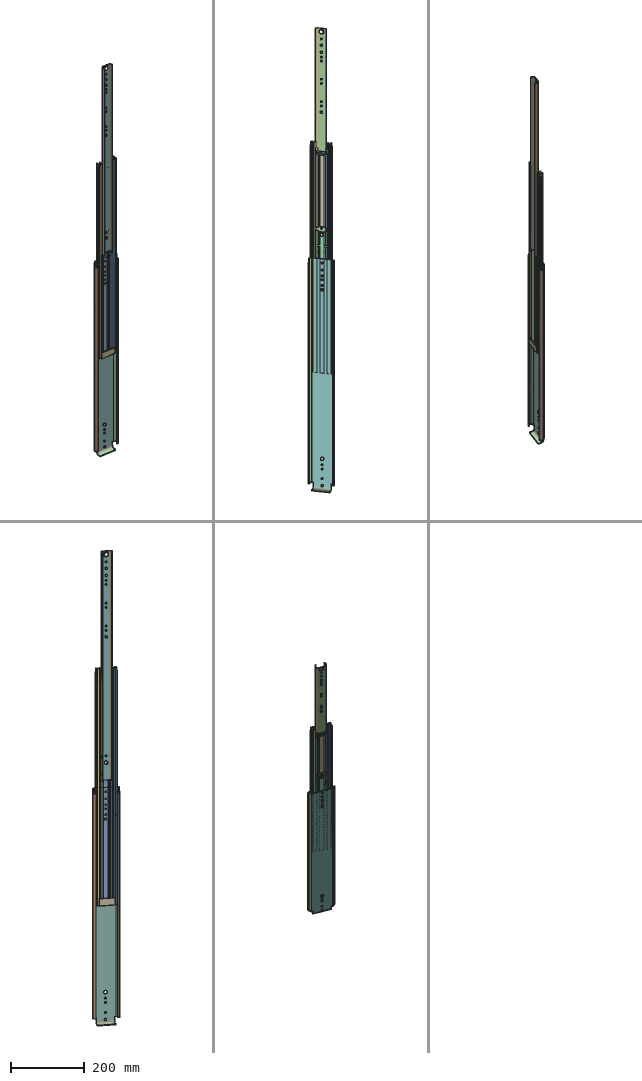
import cadquery as cq
import math

TOTAL_LENGTH = 1320.8
RAIL_LENGTH = TOTAL_LENGTH / 2
THICKNESS = 19.7
HALF_WIDTH = 38.095

OUTER_SHEET = 2.4
OUTER_WEB_HALF = 30.5
OUTER_SHOULDER_ANGLE = 122.0
OUTER_FLANGE_DEPTH = 16.5
RACE_RADIUS = 7.45
OUTER_FLANGE_BOTTOM = 19.5
OUTER_FLANGE_SETBACK = 13.0
OUTER_FLANGE_NOTCH_X = 6.5
TAB_HALF_WIDTH = 26.0
TAB_BEND_RADIUS = 7.5
TAB_DEPTH = 16.5
OUTER_SMALL_HOLES = (648.5, 628.5, 611.5, 600.5, 584.5, 72.5, 60.5, 33.0)
OUTER_LARGE_HOLES = (572.0, 13.0)
OUTER_ACCESS_HOLE_Z = 89.5

MIDDLE_BOTTOM = 334.6
MIDDLE_TOP = MIDDLE_BOTTOM + RAIL_LENGTH
MIDDLE_FRONT = 3.0
MIDDLE_BACK = 16.0
MIDDLE_SHEET = 2.4
MIDDLE_CHANNEL_HALF = 17.5
MIDDLE_HALF_WIDTH = 29.5
FOLD_GAP_OUTER_Y = 25.5
GROOVE_X = 10.0
GROOVE_HALF = 1.8
GROOVE_RIM_Y = 28.4
GROOVE_FLOOR_Y = 27.6
FRONT_LIP_Y = 27.5
BACK_LIP_Y = 28.0
BUMP_OFFSET = 4.0
WEB_SETBACK = 19.0
WEB_NOTCH_DEPTH = 8.0
WEB_NOTCH_HALF = 11.0
WINDOW_Z = 745.5
WINDOW_HEIGHT = 15.0
WINDOW_HALF = 9.5
WINDOW_SLOT_HEIGHT = 8.0
LOWER_CROSS_GROOVE_Z = 956.0
UPPER_CROSS_GROOVE_Z = 963.5
CROSS_GROOVE_WIDTH = 3.75
CREASE_INNER_Y = 6.0
CREASE_STEP_Y = 10.0
CREASE_OUTER_Y = 14.0
CREASE_DEPTH = 0.6
CREASE_BREAK_Z = 698.0
CREASE_BREAK = 5.0
STOP_HEIGHT = 20.0
STOP_HALF_WIDTH = 22.0

INNER_BOTTOM = 682.0
INNER_FRONT = 7.0
INNER_SHEET = 2.0
INNER_WEB_HALF = 9.5
INNER_HALF_WIDTH = 15.6
INNER_MID_X = 12.5
INNER_LIP_Y = 13.5
INNER_SMALL_HOLES = (1290.0, 1238.0, 1227.0, 1175.0, 1163.0, 1111.0, 1099.0, 749.5)
INNER_LARGE_HOLES = (1272.0, 1252.0, 1081.0)
END_HOLE_Z = 1310.5
END_HOLE_DIAMETER = 10.5
END_SINK_DIAMETER = 14.5

SMALL_HOLE = 4.6
LARGE_HOLE = 6.4
ACCESS_HOLE = 9.5
ACCESS_HOLE_Z = 730.5

RETAINER_TOP = MIDDLE_TOP - 9.5
RETAINER_LENGTH = 495.0
RETAINER_HALF_WIDTH = 2.5
RETAINER_OUTER_Y = 31.2


def box(x_range, y_range, z_range):
    """Axis-aligned block between the given limits."""
    size = [high - low for low, high in (x_range, y_range, z_range)]
    block = cq.Workplane("XY").box(*size, centered=False)
    return block.translate((x_range[0], y_range[0], z_range[0]))


def centred(middle, length):
    """Limits of a span of the given length about its middle."""
    return (middle - length / 2, middle + length / 2)


def both_sides(half):
    """Join a half section with its mirror image across Y = 0."""
    return half.union(half.mirror("XZ"))


def cross_holes(heights, diameter):
    """Round cutters along X on the centre line."""
    points = [(0, z) for z in heights]
    return cq.Workplane("YZ").pushPoints(points).circle(diameter / 2).extrude(THICKNESS)


def outer_rail():
    """Wide C-shaped rail with rounded ball races along both edges."""
    sheet = OUTER_SHEET
    inner_radius = RACE_RADIUS - sheet
    race_x = OUTER_FLANGE_DEPTH - RACE_RADIUS
    race_y = HALF_WIDTH - RACE_RADIUS
    angle = math.radians(OUTER_SHOULDER_ANGLE)

    def shoulder(radius):
        """Point where the sloping wall meets the race arc of the given radius."""
        return (race_x + radius * math.cos(angle), race_y + radius * math.sin(angle))

    half = (
        cq.Workplane("XY")
        .moveTo(0, 0)
        .lineTo(0, OUTER_WEB_HALF)
        .lineTo(*shoulder(RACE_RADIUS))
        .threePointArc((race_x, race_y + RACE_RADIUS), (race_x + RACE_RADIUS, race_y))
        .lineTo(race_x + inner_radius, race_y)
        .threePointArc((race_x, race_y + inner_radius), shoulder(inner_radius))
        .lineTo(sheet, OUTER_WEB_HALF - sheet / 2)
        .lineTo(sheet, 0)
        .close()
        .extrude(RAIL_LENGTH - OUTER_FLANGE_BOTTOM)
        .translate((0, 0, OUTER_FLANGE_BOTTOM))
    )
    notch = box(
        (OUTER_FLANGE_NOTCH_X, THICKNESS),
        (0, HALF_WIDTH + OUTER_SHEET),
        (RAIL_LENGTH - OUTER_FLANGE_SETBACK, RAIL_LENGTH),
    )
    rail = both_sides(half.cut(notch)).union(end_tab())
    rail = rail.cut(cross_holes(OUTER_SMALL_HOLES, SMALL_HOLE))
    rail = rail.cut(cross_holes(OUTER_LARGE_HOLES, LARGE_HOLE))
    return rail.cut(cross_holes([OUTER_ACCESS_HOLE_Z], ACCESS_HOLE))


def end_tab():
    """Tongue at the lower end of the outer web, bent towards +X."""
    radius = TAB_BEND_RADIUS
    inside = radius - OUTER_SHEET
    return (
        cq.Workplane("XZ")
        .moveTo(0, OUTER_FLANGE_BOTTOM)
        .lineTo(0, radius)
        .radiusArc((radius, 0), -radius)
        .lineTo(TAB_DEPTH, 0)
        .lineTo(TAB_DEPTH, OUTER_SHEET)
        .lineTo(radius, OUTER_SHEET)
        .radiusArc((OUTER_SHEET, radius), inside)
        .lineTo(OUTER_SHEET, OUTER_FLANGE_BOTTOM)
        .close()
        .extrude(TAB_HALF_WIDTH, both=True)
    )


def web_creases(top):
    """Stepped lengthwise grooves in the middle web, and shallow cross grooves below its top."""
    channel = (-MIDDLE_CHANNEL_HALF, MIDDLE_CHANNEL_HALF)
    shallow_x = (MIDDLE_FRONT, MIDDLE_FRONT + CREASE_DEPTH)
    deep_x = (MIDDLE_FRONT, MIDDLE_FRONT + 2 * CREASE_DEPTH)
    break_bottom, break_top = centred(CREASE_BREAK_Z, CREASE_BREAK)
    lower_span = (LOWER_CROSS_GROOVE_Z, LOWER_CROSS_GROOVE_Z + CROSS_GROOVE_WIDTH)
    grooves = box(shallow_x, channel, lower_span)
    grooves = grooves.union(box(shallow_x, channel, (UPPER_CROSS_GROOVE_Z, top)))
    for span in ((MIDDLE_BOTTOM, break_bottom), (break_top, LOWER_CROSS_GROOVE_Z)):
        shallow = box(shallow_x, (CREASE_INNER_Y, CREASE_OUTER_Y), span)
        deep = box(deep_x, (CREASE_INNER_Y, CREASE_STEP_Y), span)
        grooves = grooves.union(both_sides(shallow.union(deep)))
    return grooves


def middle_rail():
    """M-shaped rail: a channel for the inner rail with folded-back grooved sides."""
    wall_y = MIDDLE_CHANNEL_HALF + MIDDLE_SHEET
    fold_x = MIDDLE_BACK - MIDDLE_SHEET
    front_rim = (GROOVE_X - GROOVE_HALF, GROOVE_RIM_Y)
    back_rim = (GROOVE_X + GROOVE_HALF, GROOVE_RIM_Y)
    half = (
        cq.Workplane("XY")
        .moveTo(MIDDLE_FRONT, 0)
        .lineTo(MIDDLE_FRONT, MIDDLE_CHANNEL_HALF)
        .radiusArc((MIDDLE_FRONT + MIDDLE_SHEET, wall_y), MIDDLE_SHEET)
        .lineTo(fold_x, wall_y)
        .lineTo(fold_x, FOLD_GAP_OUTER_Y)
        .lineTo(MIDDLE_FRONT, FOLD_GAP_OUTER_Y)
        .lineTo(MIDDLE_FRONT, FRONT_LIP_Y)
        .threePointArc((GROOVE_X - BUMP_OFFSET, MIDDLE_HALF_WIDTH), front_rim)
        .threePointArc((GROOVE_X, GROOVE_FLOOR_Y), back_rim)
        .threePointArc((GROOVE_X + BUMP_OFFSET, MIDDLE_HALF_WIDTH), (MIDDLE_BACK, BACK_LIP_Y))
        .lineTo(MIDDLE_BACK, MIDDLE_CHANNEL_HALF)
        .lineTo(MIDDLE_FRONT + MIDDLE_SHEET, MIDDLE_CHANNEL_HALF)
        .lineTo(MIDDLE_FRONT + MIDDLE_SHEET, 0)
        .close()
        .extrude(RAIL_LENGTH)
        .translate((0, 0, MIDDLE_BOTTOM))
    )
    web_x = (MIDDLE_FRONT, MIDDLE_FRONT + MIDDLE_SHEET)
    channel = (-MIDDLE_CHANNEL_HALF, MIDDLE_CHANNEL_HALF)
    web_top = MIDDLE_TOP - WEB_SETBACK
    notch_bottom = web_top - WEB_NOTCH_DEPTH
    rail = both_sides(half)
    rail = rail.cut(box(web_x, channel, (web_top, MIDDLE_TOP)))
    rail = rail.cut(box(web_x, (-WEB_NOTCH_HALF, WEB_NOTCH_HALF), (notch_bottom, web_top)))
    rail = rail.cut(box(web_x, (-WINDOW_HALF, WINDOW_HALF), centred(WINDOW_Z, WINDOW_HEIGHT)))
    rail = rail.cut(box(web_x, channel, centred(WINDOW_Z, WINDOW_SLOT_HEIGHT)))
    rail = rail.cut(cross_holes([ACCESS_HOLE_Z], ACCESS_HOLE))
    rail = rail.cut(web_creases(notch_bottom))
    stop = box(
        (MIDDLE_BACK, THICKNESS),
        (-STOP_HALF_WIDTH, STOP_HALF_WIDTH),
        (MIDDLE_BOTTOM, MIDDLE_BOTTOM + STOP_HEIGHT),
    )
    return rail.union(stop)


def inner_rail():
    """C-shaped rail with bowed sides and a row of mounting holes."""
    sheet = INNER_SHEET
    half = (
        cq.Workplane("XY")
        .moveTo(INNER_FRONT, 0)
        .lineTo(INNER_FRONT, INNER_WEB_HALF)
        .threePointArc((INNER_MID_X, INNER_HALF_WIDTH), (THICKNESS, INNER_LIP_Y))
        .lineTo(THICKNESS, INNER_LIP_Y - sheet)
        .threePointArc(
            (INNER_MID_X, INNER_HALF_WIDTH - sheet), (INNER_FRONT + sheet, INNER_WEB_HALF)
        )
        .lineTo(INNER_FRONT + sheet, 0)
        .close()
        .extrude(TOTAL_LENGTH - INNER_BOTTOM)
        .translate((0, 0, INNER_BOTTOM))
    )
    rail = both_sides(half)
    rail = rail.cut(cross_holes(INNER_SMALL_HOLES, SMALL_HOLE))
    rail = rail.cut(cross_holes(INNER_LARGE_HOLES, LARGE_HOLE))
    rail = rail.cut(cross_holes([ACCESS_HOLE_Z], ACCESS_HOLE))
    end_hole = (
        cq.Workplane("YZ")
        .workplane(offset=INNER_FRONT)
        .center(0, END_HOLE_Z)
        .circle(END_SINK_DIAMETER / 2)
        .workplane(offset=sheet)
        .circle(END_HOLE_DIAMETER / 2)
        .loft()
    )
    return rail.cut(end_hole)


def ball_retainer(side):
    """Strip with a rounded rib seated in the ball groove; side is +1 or -1."""
    strip = (
        cq.Workplane("XY")
        .moveTo(GROOVE_X - RETAINER_HALF_WIDTH, RETAINER_OUTER_Y)
        .lineTo(GROOVE_X + RETAINER_HALF_WIDTH, RETAINER_OUTER_Y)
        .lineTo(GROOVE_X + RETAINER_HALF_WIDTH, MIDDLE_HALF_WIDTH)
        .lineTo(GROOVE_X + GROOVE_HALF, MIDDLE_HALF_WIDTH)
        .lineTo(GROOVE_X + GROOVE_HALF, GROOVE_RIM_Y)
        .threePointArc((GROOVE_X, GROOVE_FLOOR_Y), (GROOVE_X - GROOVE_HALF, GROOVE_RIM_Y))
        .lineTo(GROOVE_X - GROOVE_HALF, MIDDLE_HALF_WIDTH)
        .lineTo(GROOVE_X - RETAINER_HALF_WIDTH, MIDDLE_HALF_WIDTH)
        .close()
        .extrude(RETAINER_LENGTH)
        .translate((0, 0, RETAINER_TOP - RETAINER_LENGTH))
    )
    return strip if side > 0 else strip.mirror("XZ")


outer = outer_rail()
middle = middle_rail()
inner = inner_rail()
retainers = [ball_retainer(side) for side in (1, -1)]

result = cq.Compound.makeCompound(
    [outer.val(), middle.val(), inner.val(), *[r.val() for r in retainers]]
)